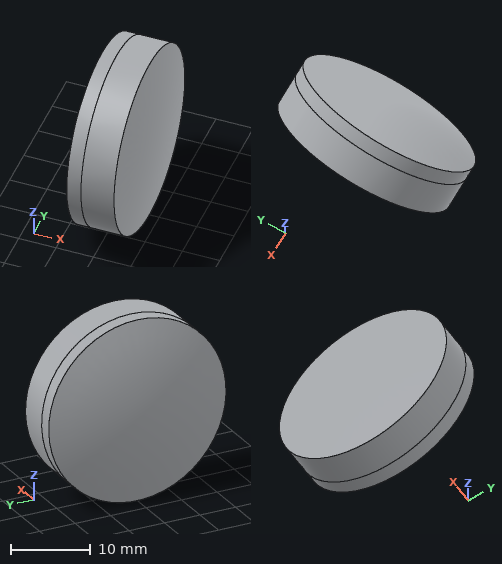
import cadquery as cq

diameter = 25.0
radius = diameter / 2
front_sag = 1.95
front_rim = 1.92
rear_rim = 4.42
rear_sag = 0.9

joint_x = 0.0
front_edge_x = joint_x - front_rim
front_apex_x = front_edge_x - front_sag
rear_edge_x = joint_x + rear_rim
rear_apex_x = rear_edge_x + rear_sag


def make_lens_element(apex_x, edge_x):
    """Plano-convex element: flat at the joint, spherical from edge_x to apex_x."""
    sag = abs(apex_x - edge_x)
    sphere_radius = (radius**2 + sag**2) / (2 * sag)
    mid_height = radius / 2
    mid_sag = sphere_radius - (sphere_radius**2 - mid_height**2) ** 0.5
    toward_joint = 1 if edge_x > apex_x else -1
    mid_x = apex_x + toward_joint * mid_sag
    return (
        cq.Workplane("XZ")
        .moveTo(joint_x, 0)
        .lineTo(joint_x, radius)
        .lineTo(edge_x, radius)
        .threePointArc((mid_x, mid_height), (apex_x, 0))
        .close()
        .revolve(360, (0, 0, 0), (1, 0, 0))
    )


front_element = make_lens_element(front_apex_x, front_edge_x)
rear_element = make_lens_element(rear_apex_x, rear_edge_x)

result = cq.Compound.makeCompound([front_element.val(), rear_element.val()])